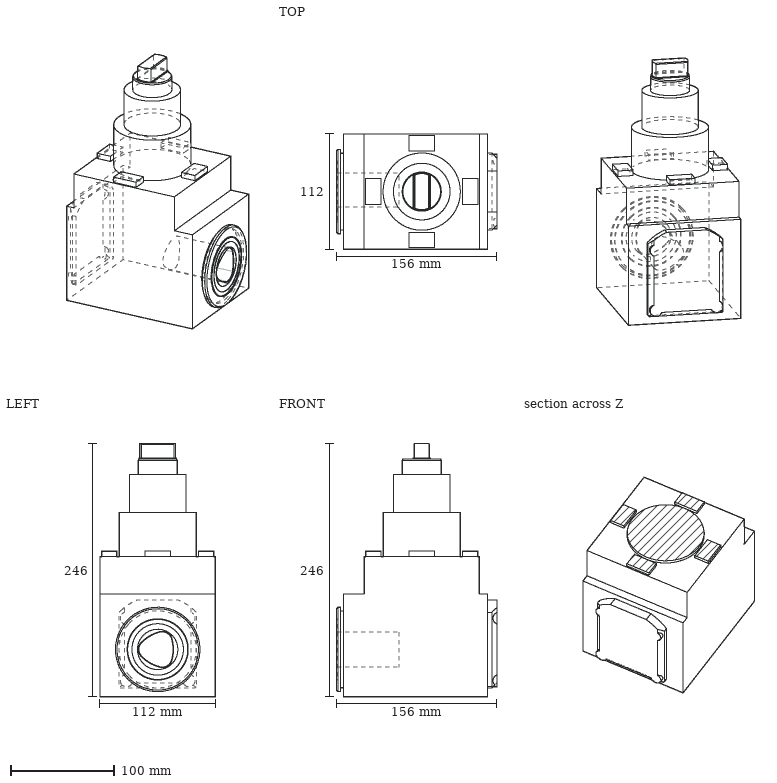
import cadquery as cq
import math

BODY_DEPTH = 112.0
BODY_X_MIN = -76.0
BODY_X_MAX = 64.0
BODY_HEIGHT = 100.0
SHOULDER_WIDTH = 112.0
SHOULDER_TOP = 136.0

LOWER_DIAMETER = 75.0
LOWER_TOP = 179.0
UPPER_DIAMETER = 55.0
UPPER_TOP = 216.0
PIN_DIAMETER = 38.0
PIN_TOP = 231.0
PIN_CHAMFER_HEIGHT = 1.4
PIN_CHAMFER_WIDTH = 0.7

TANG_THICKNESS = 15.0
TANG_END_DIAMETER = 35.0
TANG_TOP = 246.0
TANG_CHAMFER = 0.9
TANG_ROOT_STEP = 0.8

PAD_RADIAL = 15.0
PAD_TANGENTIAL = 25.0
PAD_HEIGHT = 5.5
PAD_CENTRE_RADIUS = 47.0
PAD_COUNT = 4

BORE_AXIS_Z = 46.0

FLANGE_DIAMETER = 82.0
FLANGE_THICKNESS = 4.1
FLANGE_CHAMFER = 1.5
NECK_DIAMETER = 74.9
NECK_LENGTH = 2.8
FLANGE_FACE_X = BODY_X_MIN - NECK_LENGTH - FLANGE_THICKNESS
GROOVE_OUTER_DIAMETER = 59.4
GROOVE_INNER_DIAMETER = 58.4
GROOVE_DEPTH = 1.0
RECESS_STEP = 0.4
RECESS_DIAMETERS = (50.0, 39.2)

LOBE_COUNT = 3
LOBE_REACH = 18.3
LOBE_ARC_RADIUS = 9.3
FLANK_REACH = 14.9
BORE_DEPTH = 60.0
MOUTH_CHAMFER = 0.5

COVER_THICKNESS = 9.1
COVER_CORNER_RADIUS = 52.0
COVER_HALF_WIDTH = 37.5
COVER_RISE = 48.0
COVER_DROP = 37.5
COVER_RIM = 4.0
COVER_CHAMFER = COVER_THICKNESS - COVER_RIM
SCREW_HEAD_DIAMETER = 12.0
SCREW_OFFSET = 30.3


def cylinder_z(diameter, bottom, top):
    """Vertical cylinder on the tower axis."""
    return cq.Workplane("XY").workplane(offset=bottom).circle(diameter / 2).extrude(top - bottom)


def cylinder_x(diameter, x_start, length, y=0.0, z=BORE_AXIS_Z):
    """Cylinder running toward +X from x_start."""
    return cq.Workplane("YZ", origin=(x_start, y, z)).circle(diameter / 2).extrude(length)


def make_block():
    body = cq.Workplane("XY").box(
        BODY_X_MAX - BODY_X_MIN, BODY_DEPTH, BODY_HEIGHT, centered=(False, True, False)
    ).translate((BODY_X_MIN, 0, 0))
    shoulder = cq.Workplane("XY").box(
        SHOULDER_WIDTH, BODY_DEPTH, SHOULDER_TOP, centered=(True, True, False)
    )
    return body.union(shoulder)


def make_tower():
    lower = cylinder_z(LOWER_DIAMETER, SHOULDER_TOP, LOWER_TOP)
    upper = cylinder_z(UPPER_DIAMETER, LOWER_TOP, UPPER_TOP)
    pin = cylinder_z(PIN_DIAMETER, UPPER_TOP, PIN_TOP)
    pin = pin.faces(">Z").edges().chamfer(PIN_CHAMFER_HEIGHT, PIN_CHAMFER_WIDTH)
    return lower.union(upper).union(pin)


def round_ended_key(thickness, end_diameter, height):
    """Flat-sided key standing on the pin, its ends rounded to a circle about the tower axis."""
    slab = cq.Workplane("XY", origin=(0, 0, PIN_TOP)).box(
        thickness, end_diameter, height, centered=(True, True, False)
    )
    return slab.intersect(cylinder_z(end_diameter, PIN_TOP, PIN_TOP + height))


def make_tang():
    """Drive key with bevelled long top edges and a low step around its root."""
    tang = round_ended_key(TANG_THICKNESS, TANG_END_DIAMETER, TANG_TOP - PIN_TOP)
    tang = tang.faces(">Z").edges("|Y").chamfer(TANG_CHAMFER)
    root = round_ended_key(
        TANG_THICKNESS + 2 * TANG_ROOT_STEP, TANG_END_DIAMETER + 2 * TANG_ROOT_STEP, TANG_ROOT_STEP
    )
    return tang.union(root)


def make_pads():
    return (
        cq.Workplane("XY")
        .workplane(offset=SHOULDER_TOP)
        .polarArray(PAD_CENTRE_RADIUS, 0, 360, PAD_COUNT)
        .rect(PAD_RADIAL, PAD_TANGENTIAL)
        .extrude(PAD_HEIGHT)
    )


def make_flange():
    neck = cylinder_x(NECK_DIAMETER, BODY_X_MIN - NECK_LENGTH, NECK_LENGTH)
    flange = cylinder_x(FLANGE_DIAMETER, FLANGE_FACE_X, FLANGE_THICKNESS)
    flange = flange.faces("<X").edges().chamfer(FLANGE_CHAMFER)
    groove = cylinder_x(GROOVE_OUTER_DIAMETER, FLANGE_FACE_X, GROOVE_DEPTH).cut(
        cylinder_x(GROOVE_INNER_DIAMETER, FLANGE_FACE_X, GROOVE_DEPTH)
    )
    flange = flange.cut(groove)
    for step, diameter in enumerate(RECESS_DIAMETERS, start=1):
        flange = flange.cut(cylinder_x(diameter, FLANGE_FACE_X, step * RECESS_STEP))
    return neck.union(flange)


def polar(radius, degrees):
    angle = math.radians(degrees)
    return (radius * math.cos(angle), radius * math.sin(angle))


def lobed_outline(face_x, margin):
    """Closed outline of lobes with tangent flank arcs, grown outward by margin; one lobe is toward +Y."""
    half_pitch = 180.0 / LOBE_COUNT
    lobe_reach = LOBE_REACH + margin
    flank_reach = FLANK_REACH + margin
    lobe_radius = LOBE_ARC_RADIUS + margin
    lobe_centre = lobe_reach - lobe_radius

    along, across = polar(lobe_centre, half_pitch)
    inset = along - flank_reach
    flank_radius = (lobe_radius**2 - inset**2 - across**2) / (2 * (inset + lobe_radius))
    contact_angle = math.degrees(math.atan2(across, inset + flank_radius))
    contact_along, contact_across = polar(flank_radius, contact_angle)
    contact_along += flank_reach - flank_radius
    contact_reach = math.hypot(contact_along, contact_across)
    lobe_half_angle = half_pitch - math.degrees(math.atan2(contact_across, contact_along))

    outline = cq.Workplane("YZ", origin=(face_x, 0, BORE_AXIS_Z))
    outline = outline.moveTo(*polar(contact_reach, -lobe_half_angle))
    for lobe in range(LOBE_COUNT):
        middle = 2 * half_pitch * lobe
        next_middle = middle + 2 * half_pitch
        outline = outline.threePointArc(
            polar(lobe_reach, middle), polar(contact_reach, middle + lobe_half_angle)
        )
        outline = outline.threePointArc(
            polar(flank_reach, middle + half_pitch), polar(contact_reach, next_middle - lobe_half_angle)
        )
    return outline.close()


def make_bore():
    """Blind three-lobed bore with a chamfered mouth."""
    mouth_x = FLANGE_FACE_X + len(RECESS_DIAMETERS) * RECESS_STEP
    mouth = lobed_outline(mouth_x, MOUTH_CHAMFER).extrude(MOUTH_CHAMFER, taper=45)
    return lobed_outline(mouth_x, 0.0).extrude(BORE_DEPTH).union(mouth)


def make_cover():
    """Plate with rounded corners, bevelled on its sides and bottom, and four screw heads in the bevels."""
    plate = cq.Workplane("XY").box(
        COVER_THICKNESS, 2 * COVER_HALF_WIDTH, COVER_RISE + COVER_DROP, centered=(False, True, False)
    )
    plate = plate.faces(">X").edges("<Y or >Y or <Z").chamfer(COVER_CHAMFER)
    plate = plate.translate((BODY_X_MAX, 0, BORE_AXIS_Z - COVER_DROP))
    plate = plate.intersect(cylinder_x(2 * COVER_CORNER_RADIUS, BODY_X_MAX, COVER_THICKNESS))
    for side_y in (-1, 1):
        for side_z in (-1, 1):
            head = cylinder_x(
                SCREW_HEAD_DIAMETER,
                BODY_X_MAX,
                COVER_THICKNESS,
                y=side_y * SCREW_OFFSET,
                z=BORE_AXIS_Z + side_z * SCREW_OFFSET,
            )
            plate = plate.union(head)
    return plate


result = make_block()
for feature in (make_tower(), make_tang(), make_pads(), make_flange(), make_cover()):
    result = result.union(feature)
result = result.cut(make_bore())